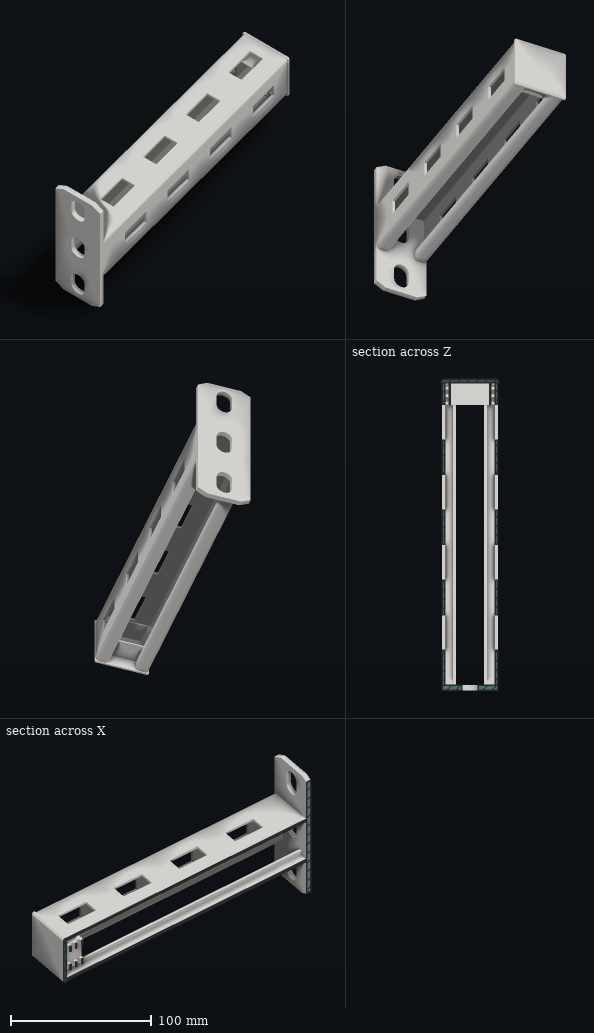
import cadquery as cq
plate_width = 40.0
plate_height = 110.0
plate_thickness = 4.0
corner_cut_width = 7.3
corner_cut_height = 4.0
slot_width = 11.8
slot_length = 20.0
slot_pitch = 40.0
slot_count = 3

total_length = 222.2
cap_thickness = 2.7
tube_size = plate_width
tube_wall = 2.0
tube_corner_radius = 3.0
tube_center_z = -2.2
tube_end_y = total_length - cap_thickness
tube_length = tube_end_y - plate_thickness

window_length = 25.0
window_width = 11.8
window_pitch = 50.0
window_count = 4
top_window_start_y = 34.0
side_window_start_y = 28.9

opening_width = 20.0
return_height = 6.9

cap_size = 41.0
cap_center_z = tube_center_z - 0.33
cap_chamfer = 1.3
cap_corner_chamfer = 0.9
sleeve_length = 15.8
sleeve_width = 30.0
sleeve_height = 22.2
sleeve_wall = 1.0

barb_height = 5.0
barb_count = 3
barb_pitch = 5.3
barb_first_offset = 3.8
barb_root_length = 2.7
barb_crest_length = 0.2


def box_between(x_range, y_range, z_range):
    """Axis-aligned box spanning the three given ranges."""
    size = [high - low for low, high in (x_range, y_range, z_range)]
    corner = (x_range[0], y_range[0], z_range[0])
    return cq.Workplane("XY").box(*size, centered=False).translate(corner)


def make_plate():
    """Plate with clipped corners and a column of upright slots."""
    half_width = plate_width / 2
    half_height = plate_height / 2
    flat_x = half_width - corner_cut_width
    flat_z = half_height - corner_cut_height
    outline = [
        (half_width, -flat_z), (half_width, flat_z),
        (flat_x, half_height), (-flat_x, half_height),
        (-half_width, flat_z), (-half_width, -flat_z),
        (-flat_x, -half_height), (flat_x, -half_height),
    ]
    plate = cq.Workplane("XZ").polyline(outline).close().extrude(-plate_thickness)
    slots = (
        cq.Workplane("XZ")
        .rarray(2.2, slot_pitch, 1, slot_count)
        .slot2D(slot_length, slot_width, 90)
        .extrude(-plate_thickness)
    )
    return plate.cut(slots)


def make_channel_bar(inset):
    """Solid bar with the bottom opening as a groove, its sides moved inward from the channel skin by inset."""
    size = tube_size - 2 * inset
    bottom_z = tube_center_z - tube_size / 2
    groove_half_width = opening_width / 2 + inset
    groove = box_between(
        (-groove_half_width, groove_half_width),
        (plate_thickness, tube_end_y),
        (bottom_z, bottom_z + return_height),
    )
    return (
        cq.Workplane("XZ", origin=(0, plate_thickness, tube_center_z))
        .rect(size, size)
        .extrude(-tube_length)
        .cut(groove)
        .edges("|Y").edges("<Z or >Z")
        .fillet(tube_corner_radius - inset)
    )


def make_windows():
    """Cutters for the windows through the top wall and the side walls."""
    reach = (-tube_size, tube_size)
    across = (-window_width / 2, window_width / 2)
    windows = cq.Workplane("XY")
    for index in range(window_count):
        top_y = top_window_start_y + index * window_pitch
        side_y = side_window_start_y + index * window_pitch
        windows = windows.add(box_between(across, (top_y, top_y + window_length), reach))
        windows = windows.add(box_between(reach, (side_y, side_y + window_length), across)
                              .translate((0, 0, tube_center_z)))
    return windows


def make_barbs(side, level):
    """Row of tapered barbs; side is the sign of X, level is 1 for the upper row and -1 for the lower."""
    root_x = sleeve_width / 2
    crest_x = tube_size / 2
    base_z = cap_center_z + level * (sleeve_height - barb_height) / 2 - barb_height / 2
    barbs = []
    for index in range(barb_count):
        barb_y = tube_end_y - barb_first_offset - index * barb_pitch
        profile = [
            (side * root_x, barb_y - barb_root_length / 2),
            (side * crest_x, barb_y - barb_crest_length / 2),
            (side * crest_x, barb_y + barb_crest_length / 2),
            (side * root_x, barb_y + barb_root_length / 2),
        ]
        barbs.append(
            cq.Workplane("XY", origin=(0, 0, base_z))
            .polyline(profile).close().extrude(barb_height)
        )
    return barbs


def make_all_barbs():
    """Upper and lower barbs on both sides of the sleeve."""
    return [barb for side in (-1, 1) for level in (-1, 1) for barb in make_barbs(side, level)]


def make_tube(barbs):
    """Channel with upturned bottom edges, windows and pockets fitting the cap barbs."""
    tube = make_channel_bar(0).cut(make_channel_bar(tube_wall)).cut(make_windows())
    for barb in barbs:
        tube = tube.cut(barb)
    return tube


def make_cap(barbs):
    """Cover with chamfered corners and outer rim, the inner sleeve and its barbs."""
    cap = (
        cq.Workplane("XZ", origin=(0, tube_end_y, cap_center_z))
        .rect(cap_size, cap_size)
        .extrude(-cap_thickness)
        .edges("|Y")
        .chamfer(cap_corner_chamfer)
        .faces(">Y")
        .chamfer(cap_chamfer)
    )
    sleeve = (
        cq.Workplane("XZ", origin=(0, tube_end_y, cap_center_z))
        .rect(sleeve_width, sleeve_height)
        .rect(sleeve_width - 2 * sleeve_wall, sleeve_height - 2 * sleeve_wall)
        .extrude(sleeve_length)
    )
    cap = cap.union(sleeve)
    for barb in barbs:
        cap = cap.union(barb)
    return cap


barbs = make_all_barbs()
plate = make_plate()
tube = make_tube(barbs)
cap = make_cap(barbs)

result = cq.Compound.makeCompound([plate.val(), tube.val(), cap.val()])